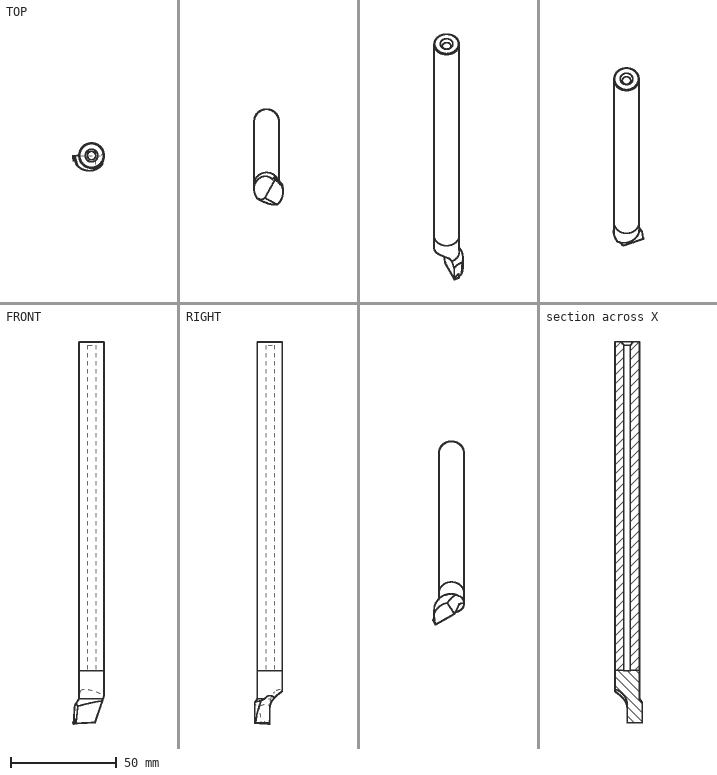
import cadquery as cq
import math

tool_length = 181.2
shank_diameter = 12.0
head_length = 25.4
shank_edge_chamfer = 0.4

bore_diameter = 4.0
countersink_diameter = 6.0
countersink_angle = 60.0

neck_diameter = shank_diameter
lobe_radius = 7.8
lobe_center = (-1.0, 0.5)
shoulder_height = 12.0
shoulder_angle = 57.0
bottom_height = 0.2
bottom_rise_angle = 3.0

relief_foot_x = 1.5
relief_angle = 18.5

flank_foot_x = -8.61
flank_clearance_angle = 17.0
flank_lean_angle = 3.5

flute_radius = 7.6
flute_arc_height = 8.3
flute_tilt_angle = 15.0

tooth_reach_x = -8.9
tooth_height = 2.4
tooth_ledge_x = -8.0
tooth_depth = 2.5
tooth_corner_height = 0.5
tooth_point_x = -8.3
tooth_root_x = -5.5
tooth_root_bottom = 0.9
tooth_taper = 3.0

clear = 36.2


def make_shank():
    return (
        cq.Workplane("XY", origin=(0, 0, head_length))
        .circle(shank_diameter / 2)
        .extrude(tool_length - head_length)
        .faces(">Z")
        .chamfer(shank_edge_chamfer)
        .faces(">Z")
        .workplane()
        .cskHole(bore_diameter, countersink_diameter, countersink_angle)
    )


def make_lobe():
    """Eccentric cylinder, topped by a shoulder cone that is coaxial with the shank."""
    neck_radius = neck_diameter / 2
    cone_radius = neck_radius + lobe_radius
    cone_drop = (cone_radius - neck_radius) * math.tan(math.radians(shoulder_angle))
    under_cone = (
        cq.Workplane("XZ")
        .moveTo(0, -clear)
        .lineTo(cone_radius, -clear)
        .lineTo(cone_radius, shoulder_height - cone_drop)
        .lineTo(neck_radius, shoulder_height)
        .lineTo(0, shoulder_height)
        .close()
        .revolve(360, (0, 0, 0), (0, 1, 0))
    )
    lobe = cq.Workplane("XY").center(*lobe_center).circle(lobe_radius).extrude(shoulder_height)
    return lobe.intersect(under_cone)


def make_side_relief():
    """Block on the +X side of a plane that leans outwards going up."""
    block = cq.Workplane("XY").box(clear, 2 * clear, 2 * clear, centered=(False, True, True))
    return block.rotate((0, 0, 0), (0, 1, 0), relief_angle).translate((relief_foot_x, 0, 0))


def make_flank_relief():
    """Block on the -X side of the flank, below the shoulder."""
    block = cq.Workplane("XY").box(clear, clear, 2 * clear).translate((-clear / 2, 0, 0))
    block = block.rotate((0, 0, 0), (0, 1, 0), flank_lean_angle)
    block = block.rotate((0, 0, 0), (0, 0, 1), flank_clearance_angle)
    return block.translate((flank_foot_x, 0, 0))


def make_underside_relief():
    block = cq.Workplane("XY").box(2 * clear, 2 * clear, clear, centered=(True, True, False))
    block = block.translate((0, 0, -clear)).rotate((0, 0, 0), (0, 1, 0), -bottom_rise_angle)
    return block.translate((tooth_reach_x, 0, bottom_height))


def make_flute():
    """Tilted sweep of the rake face and the arc above it."""
    arc_middle = flute_radius * math.cos(math.radians(45))
    flute = (
        cq.Workplane("YZ", origin=(-clear, 0, 0))
        .moveTo(0, -clear)
        .lineTo(0, 0)
        .threePointArc((flute_radius - arc_middle, arc_middle), (flute_radius, flute_radius))
        .lineTo(clear, flute_radius)
        .lineTo(clear, -clear)
        .close()
        .extrude(2 * clear)
    )
    return flute.rotate((0, 0, 0), (0, 1, 0), flute_tilt_angle).translate((0, 0, flute_arc_height))


def make_tooth():
    """Small point that stands proud of the flank and tapers away from the rake face."""
    outline = [
        (tooth_root_x, tooth_height),
        (tooth_ledge_x, tooth_height),
        (tooth_reach_x, tooth_corner_height),
        (tooth_point_x, 0),
        (tooth_root_x, tooth_root_bottom),
    ]
    return cq.Workplane("XZ").polyline(outline).close().extrude(tooth_depth, taper=tooth_taper)


def make_head():
    neck = cq.Workplane("XY").circle(neck_diameter / 2).extrude(head_length)
    head = neck.union(make_lobe())
    head = head.cut(make_side_relief()).cut(make_flank_relief())
    head = head.cut(make_underside_relief()).cut(make_flute())
    return head.union(make_tooth())


shank = make_shank()
head = make_head()
result = cq.Compound.makeCompound([shank.val(), head.val()])